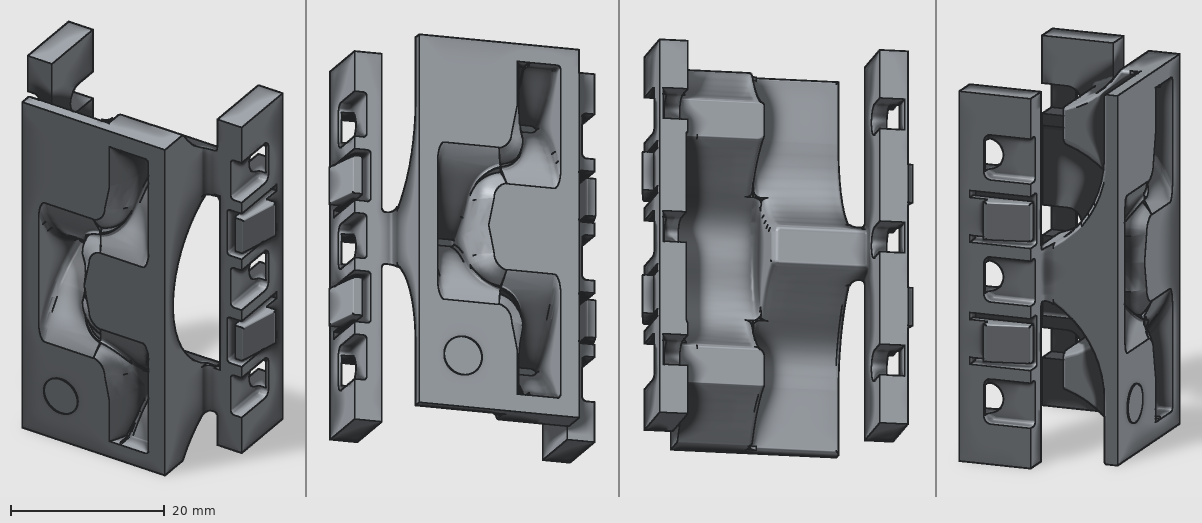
import cadquery as cq
import math

LENGTH = 50.0
HALF_LENGTH = LENGTH / 2
PLATE_HALF_WIDTH = 11.0
PLATE_THICKNESS = 2.0
RAIL_INNER = 12.75
RAIL_OUTER = 16.5
RAIL_FRONT = 10.0
RAIL_BACK = 20.0
PITCH = 16.5

ARCH_BACK = 12.5
ARCH_RADIUS = 14.5
AXIS_Y = PLATE_THICKNESS + ARCH_RADIUS
LEFT_ARCH_INNER = 0.0
RIGHT_ARCH_INNER = 1.0
LEFT_CREST_FILLET = 0.75
RIGHT_CREST_FILLET = 0.35
EDGE_FILLET = 0.5
INNER_FILLET = 1.0
CORE_INSET = 1.0

WALL = 3.0
POCKET_RADIUS = ARCH_RADIUS + WALL
POCKET_DEPTH = ARCH_BACK - WALL
POCKET_SIDE = 8.45
POCKET_END = 22.6
POCKET_FILLET = 0.9
POCKET_END_FILLET = 0.55
BEND_X = (LEFT_ARCH_INNER + RIGHT_ARCH_INNER) / 2
BEND_Z = PITCH / 2
WALL_SWING = 3.6
WALL_X = BEND_X + WALL_SWING
BEND_TOP = 12.75
BEND_RISE = BEND_TOP - BEND_Z
BEND_RADIUS = (WALL_SWING**2 + BEND_RISE**2) / (2 * WALL_SWING)
BEND_CENTER_X = WALL_X - BEND_RADIUS
BEND_ANGLE = math.degrees(math.atan2(BEND_RISE, BEND_X - BEND_CENTER_X))
FOOT_FILLET = 0.35
LIP_WIDTH = 1.65
LIP_WIDTH_AT_BEND = 2.4
LIP_DEPTH = 6.0
LIP_DEPTH_AT_BEND = 3.0

NECK_FILLET = 1.0
NECK_FLARE = 0.5

RECESS_HALF_HEIGHT = 3.05
RECESS_END = 16.55
RECESS_DEPTH = 1.7
RECESS_CORNER = 1.0
RECESS_FILLET = 0.6
SLOT_RADIUS = 2.05
SLOT_SKIN = 0.45
TONGUE_HEIGHT = PITCH / 2
GROOVE_HALF_HEIGHT = 3.5
GROOVE_END = 18.55
GROOVE_DEPTH = 2.25
GROOVE_FILLET = 0.55
TONGUE_HALF_HEIGHT = 2.55
TONGUE_THICKNESS = 1.15
BARB_TIP = 17.95
BARB_BACK = 16.05
BARB_TIP_LENGTH = 0.45
BARB_TOE = 0.2
BARB_FILLET = 0.2
TONGUE_FILLET = 0.35

RELIEF_DEPTH = 0.2
RELIEF_HALF_HEIGHT = 13.1
RELIEF_BEVEL = 0.25
RELIEF_CORNER = 0.75

DISC_X = -5.0
DISC_Z = -18.1
DISC_RADIUS = 2.6
DISC_HEIGHT = 0.15

OVERSHOOT = 0.5
MARGIN = 0.05


def block(x0, x1, y0, y1, z0, z1):
    """Box given by its limits along the three axes."""
    return cq.Workplane("XY").box(x1 - x0, y1 - y0, z1 - z0, centered=False).translate((x0, y0, z0))


def within(x0, x1, y0, y1, z0, z1):
    """Selector for edges whose middle lies inside the given limits."""
    return cq.selectors.BoxSelector((x0, y0, z0), (x1, y1, z1))


def behind_front(z0, z1):
    """Selector for edges clear of the front face, between two heights."""
    return within(-RAIL_OUTER, RAIL_OUTER, OVERSHOOT, RAIL_BACK, z0, z1)


def rod(radius, z, x0=-RAIL_OUTER, x1=RAIL_OUTER):
    """Cylinder along X on one of the arch axes."""
    return cq.Workplane("YZ", origin=(x0, 0, 0)).center(AXIS_Y, z).circle(radius).extrude(x1 - x0)


def both_ends(shape):
    """Shape together with its reflection at mid height."""
    return shape.union(shape.mirror("XY"))


def both_sides(shape):
    """Shape together with its reflection across the middle plane."""
    return shape.union(shape.mirror("YZ"))


def left_arch(x0, x1):
    """Plate with one arch at mid height."""
    body = block(x0, x1, 0, ARCH_BACK, -HALF_LENGTH, HALF_LENGTH)
    hollow = rod(ARCH_RADIUS, PITCH).union(
        block(-RAIL_OUTER, RAIL_OUTER, PLATE_THICKNESS, ARCH_BACK, PITCH, HALF_LENGTH))
    return body.cut(both_ends(hollow))


def right_arches(x0, x1):
    """Plate with an arch one pitch above and one below mid height."""
    body = block(x0, x1, 0, ARCH_BACK, -HALF_LENGTH, HALF_LENGTH)
    return body.cut(rod(ARCH_RADIUS, 0)).cut(both_ends(rod(ARCH_RADIUS, 2 * PITCH)))


def end_rounding():
    """Material outside the rounded back edges at both plate ends."""
    y = PLATE_THICKNESS - EDGE_FILLET
    z = HALF_LENGTH - EDGE_FILLET
    corner = block(-PLATE_HALF_WIDTH, PLATE_HALF_WIDTH, y, PLATE_THICKNESS, z, HALF_LENGTH)
    bead = (cq.Workplane("YZ", origin=(-PLATE_HALF_WIDTH, y, z))
            .circle(EDGE_FILLET).extrude(2 * PLATE_HALF_WIDTH))
    return both_ends(corner.cut(bead))


def arch_body():
    """Plate with all three arches, their edges rounded."""
    end = HALF_LENGTH - OVERSHOOT
    left = left_arch(-PLATE_HALF_WIDTH, LEFT_ARCH_INNER)
    left = left.edges("|X").edges(">Y").fillet(LEFT_CREST_FILLET)
    left = left.faces(">X").edges(behind_front(-end, end)).fillet(INNER_FILLET)
    left = left.faces("<X").edges(behind_front(-end, end)).fillet(EDGE_FILLET)
    left = left.cut(end_rounding())

    right = right_arches(RIGHT_ARCH_INNER, PLATE_HALF_WIDTH)
    between_crests = PITCH - OVERSHOOT
    beyond_crests = PITCH + OVERSHOOT
    right = right.faces("<X").edges(behind_front(-between_crests, between_crests)).fillet(INNER_FILLET)
    for z0, z1 in ((beyond_crests, end), (-end, -beyond_crests)):
        right = right.faces("<X").edges(behind_front(z0, z1)).fillet(EDGE_FILLET)
    right = right.edges("|X").edges(">Y").fillet(RIGHT_CREST_FILLET)
    for end_face in (">Z", "<Z"):
        right = right.faces(end_face).edges(">Y").fillet(EDGE_FILLET)

    core_left = -PLATE_HALF_WIDTH + CORE_INSET
    core = left_arch(core_left, PLATE_HALF_WIDTH).intersect(right_arches(core_left, PLATE_HALF_WIDTH))
    core = core.cut(end_rounding())
    return core.union(left).union(right)


def curved_cove(z, bead_x):
    """Concave fillet lying on a hollow of the core, carved by a round bead centred at bead_x."""
    ring = rod(ARCH_RADIUS, z, LEFT_ARCH_INNER, RIGHT_ARCH_INNER)
    ring = ring.cut(rod(ARCH_RADIUS - INNER_FILLET, z, LEFT_ARCH_INNER, RIGHT_ARCH_INNER))
    bead_path_radius = ARCH_RADIUS - INNER_FILLET
    bead = (cq.Workplane("XY", origin=(bead_x, AXIS_Y - bead_path_radius, z))
            .circle(INNER_FILLET)
            .revolve(360, (0, bead_path_radius), (1, bead_path_radius)))
    return ring.cut(bead)


def inner_coves():
    """Concave fillets at the foot of the inner arch sides."""
    x0, x1 = LEFT_ARCH_INNER, RIGHT_ARCH_INNER
    left_foot = curved_cove(0, x1).intersect(block(x0, x1, 0, ARCH_BACK, -BEND_Z, BEND_Z))
    left_foot = left_foot.intersect(left_arch(x0, x1))

    right_foot = curved_cove(PITCH, x0).intersect(block(x0, x1, 0, ARCH_BACK, BEND_Z, PITCH))
    bead_y = PLATE_THICKNESS + INNER_FILLET
    straight = block(x0, x1, PLATE_THICKNESS, bead_y, PITCH, HALF_LENGTH)
    straight_bead = cq.Workplane("XY", origin=(x0, bead_y, PITCH)).circle(INNER_FILLET).extrude(PITCH)
    right_foot = right_foot.union(straight.cut(straight_bead)).intersect(right_arches(x0, x1))
    return left_foot.union(both_ends(right_foot))


def lip_section(width, depth, z):
    """Section of the rounded lip between the front face and the S-shaped wall."""
    return (cq.Workplane("XY").workplane(offset=z)
            .moveTo(WALL_X, -OVERSHOOT)
            .lineTo(WALL_X - width, -OVERSHOOT)
            .lineTo(WALL_X - width, 0)
            .spline([(WALL_X, depth)], tangents=[(2 * width, depth), (0, 1)], includeCurrent=True)
            .close())


def bend_lip():
    """Lip along half of the S bend and the stretch where it narrows."""
    bend = lip_section(LIP_WIDTH_AT_BEND, LIP_DEPTH_AT_BEND, BEND_TOP).revolve(
        BEND_ANGLE, (BEND_CENTER_X, 0), (BEND_CENTER_X, 1))
    wide = lip_section(LIP_WIDTH_AT_BEND, LIP_DEPTH_AT_BEND, BEND_TOP).wires().val()
    narrow = lip_section(LIP_WIDTH, LIP_DEPTH, PITCH).wires().val()
    return bend.union(cq.Workplane(cq.Solid.makeLoft([wide, narrow], True)))


def turned(shape):
    """Shape turned half way round about the middle of the S bend."""
    return shape.rotate((BEND_X, 0, BEND_Z), (BEND_X, 1, BEND_Z), 180)


def bend_point(share):
    """Point on the upper half of the S bend, from its middle (0) to its top (1)."""
    angle = math.radians(BEND_ANGLE * (share - 1))
    return (BEND_CENTER_X + BEND_RADIUS * math.cos(angle), BEND_TOP + BEND_RADIUS * math.sin(angle))


def turned_point(point):
    """Point turned half way round about the middle of the S bend."""
    return (2 * BEND_X - point[0], 2 * BEND_Z - point[1])


def pocket_space():
    """Hollow inside an arch at mid height, with its rounded outer side to the left."""
    space = block(-POCKET_SIDE, PLATE_HALF_WIDTH, -OVERSHOOT, ARCH_BACK, -PITCH, PITCH)
    space = space.cut(both_ends(rod(POCKET_RADIUS, PITCH)))
    return space.faces("<X").edges(behind_front(-PITCH, PITCH)).fillet(POCKET_FILLET)


def left_pocket():
    """Pocket under the left arch, ending at the S bends above and below."""
    space = pocket_space()
    wall_mid = turned_point(bend_point(0.5))
    wall_end = turned_point(bend_point(1))
    outline = (cq.Workplane("XZ", origin=(0, -OVERSHOOT, 0))
               .moveTo(-PLATE_HALF_WIDTH, 0)
               .lineTo(-PLATE_HALF_WIDTH, PITCH)
               .lineTo(BEND_CENTER_X, BEND_TOP)
               .lineTo(BEND_X, BEND_Z)
               .threePointArc(wall_mid, wall_end)
               .lineTo(wall_end[0], 0)
               .close()
               .extrude(-POCKET_DEPTH - OVERSHOOT))
    pocket = space.intersect(both_ends(outline))
    foot = within(-WALL_SWING, 0, OVERSHOOT, ARCH_BACK, -BEND_Z, BEND_Z)
    pocket = pocket.edges(foot).edges("not |Y").fillet(FOOT_FILLET)
    return pocket.union(space.intersect(both_ends(turned(bend_lip()))))


def upper_right_pocket():
    """Pocket under the upper right arch, from the S bend to the flat pocket end."""
    space = pocket_space().mirror("YZ").translate((0, 0, PITCH))
    outline = (cq.Workplane("XZ", origin=(0, -OVERSHOOT, 0))
               .moveTo(BEND_X, BEND_Z)
               .threePointArc(bend_point(0.5), bend_point(1))
               .lineTo(WALL_X, POCKET_END)
               .lineTo(POCKET_SIDE, POCKET_END)
               .lineTo(POCKET_SIDE, 0)
               .lineTo(*turned_point((BEND_CENTER_X, BEND_TOP)))
               .close()
               .extrude(-POCKET_DEPTH - OVERSHOOT)
               .edges("|Y and >X and >Z").fillet(POCKET_END_FILLET))
    straight_lip = lip_section(LIP_WIDTH, LIP_DEPTH, PITCH).extrude(POCKET_END - PITCH)
    pocket = space.intersect(outline)
    pocket = pocket.faces(">Z").edges("|X").edges(">Y").fillet(POCKET_END_FILLET)
    foot = within(BEND_X, WALL_X + MARGIN, OVERSHOOT, ARCH_BACK, BEND_Z, POCKET_END - MARGIN)
    pocket = pocket.edges(foot).edges("not |Y").fillet(FOOT_FILLET)
    return pocket.union(space.intersect(straight_lip.union(bend_lip())))


def pockets():
    """All three pockets, which run into each other at the S bends."""
    return left_pocket().union(both_ends(upper_right_pocket()))


def neck(arch, side, crest_fillet):
    """Bridge from an arch to the rail on the given side (-1 left, +1 right)."""
    x0, x1 = sorted((side * (PLATE_HALF_WIDTH - NECK_FILLET), side * RAIL_INNER))
    bridge = arch(x0, x1).edges("|X").edges(">Y").fillet(crest_fillet)
    bridge = bridge.intersect(
        block(x0, x1, RAIL_FRONT - NECK_FILLET, ARCH_BACK, -HALF_LENGTH, HALF_LENGTH))
    hollow_x = side * (PLATE_HALF_WIDTH + NECK_FILLET)
    under_x0, under_x1 = sorted((hollow_x, side * RAIL_INNER))
    under = block(under_x0, under_x1, 0, RAIL_FRONT, -HALF_LENGTH, HALF_LENGTH)
    round_under = (cq.Workplane("XY", origin=(hollow_x, RAIL_FRONT - NECK_FILLET, -HALF_LENGTH))
                   .circle(NECK_FILLET).extrude(LENGTH))
    bridge = bridge.cut(under).cut(round_under)
    rail_x0, rail_x1 = sorted((side * RAIL_INNER, side * RAIL_OUTER))
    bridge = bridge.union(block(rail_x0, rail_x1, RAIL_FRONT, RAIL_BACK, -HALF_LENGTH, HALF_LENGTH))
    root = within(side * RAIL_INNER - MARGIN, side * RAIL_INNER + MARGIN, RAIL_FRONT + MARGIN,
                  ARCH_BACK + MARGIN, MARGIN - HALF_LENGTH, HALF_LENGTH - MARGIN)
    bridge = bridge.edges(root).fillet(NECK_FLARE)
    return bridge.intersect(block(-RAIL_INNER, RAIL_INNER, 0, RAIL_BACK, -HALF_LENGTH, HALF_LENGTH))


def left_rail():
    """Rail with three recesses and two snap tongues."""
    rail = block(-RAIL_OUTER, -RAIL_INNER, RAIL_FRONT, RAIL_BACK, -HALF_LENGTH, HALF_LENGTH)
    for z in (-PITCH, 0, PITCH):
        rail = rail.cut(recess().translate((0, 0, z)))
    for z in (-TONGUE_HEIGHT, TONGUE_HEIGHT):
        rail = rail.cut(tongue_groove().translate((0, 0, z))).union(tongue().translate((0, 0, z)))
    return rail


def recess():
    """Outside recess open at the rail front, with a slot behind it open at the rail back."""
    floor_x = -RAIL_OUTER + RECESS_DEPTH
    dish = block(-RAIL_OUTER - RECESS_DEPTH, floor_x, RAIL_FRONT - RECESS_DEPTH, RECESS_END,
                 -RECESS_HALF_HEIGHT, RECESS_HALF_HEIGHT)
    dish = dish.edges("|X and >Y").fillet(RECESS_CORNER)
    dish = dish.faces(">X").edges("not <Y").fillet(RECESS_FILLET)
    skin_x = -RAIL_OUTER + SLOT_SKIN
    slot = block(skin_x, -RAIL_INNER, RECESS_END, RAIL_BACK, -SLOT_RADIUS, SLOT_RADIUS)
    slot_end = cq.Workplane("YZ", origin=(skin_x, RECESS_END, 0)).circle(SLOT_RADIUS).extrude(RAIL_OUTER)
    slot_end = slot_end.intersect(block(skin_x, -RAIL_INNER, 0, RAIL_BACK, -PITCH, PITCH))
    return dish.union(slot).union(slot_end)


def tongue_groove():
    """Groove around a tongue, open at the rail front and rounded along its floor."""
    groove = block(-RAIL_OUTER, -RAIL_OUTER + GROOVE_DEPTH, RAIL_FRONT, GROOVE_END,
                   -GROOVE_HALF_HEIGHT, GROOVE_HALF_HEIGHT)
    return groove.faces(">X").edges("|Y").fillet(GROOVE_FILLET)


def tongue():
    """Springy tongue rooted at the groove end, with a wedge-shaped barb outside."""
    body = (cq.Workplane("XY", origin=(0, 0, -TONGUE_HALF_HEIGHT))
            .moveTo(-RAIL_OUTER + TONGUE_THICKNESS, GROOVE_END)
            .lineTo(-RAIL_OUTER + TONGUE_THICKNESS, RAIL_FRONT)
            .lineTo(-RAIL_OUTER - BARB_TOE, RAIL_FRONT)
            .lineTo(-BARB_TIP, BARB_BACK - BARB_TIP_LENGTH)
            .lineTo(-BARB_TIP, BARB_BACK)
            .lineTo(-RAIL_OUTER, BARB_BACK)
            .lineTo(-RAIL_OUTER, GROOVE_END)
            .close()
            .extrude(2 * TONGUE_HALF_HEIGHT))
    body = body.faces("<Y").edges(">X").fillet(TONGUE_FILLET)
    barb_slope = within(-BARB_TIP, -RAIL_OUTER - BARB_TOE / 2, RAIL_FRONT - MARGIN,
                        BARB_BACK - BARB_TIP_LENGTH - MARGIN, -PITCH, PITCH)
    return body.edges(barb_slope).fillet(BARB_FILLET)


def relief():
    """Slot between the two right necks, cut slightly into the rail and bevelled at its front."""
    slot = block(PLATE_HALF_WIDTH, RAIL_INNER + RELIEF_DEPTH, RAIL_FRONT - NECK_FILLET, RAIL_BACK,
                 -RELIEF_HALF_HEIGHT, RELIEF_HALF_HEIGHT)
    slot = slot.edges("|Y and >X").fillet(RELIEF_CORNER)
    mouth = (cq.Workplane("XZ", origin=(RAIL_INNER, RAIL_FRONT, 0))
             .rect(2 * (RELIEF_DEPTH + RELIEF_BEVEL), 2 * (RELIEF_HALF_HEIGHT + RELIEF_BEVEL))
             .extrude(-RELIEF_BEVEL, taper=45))
    return slot.union(mouth)


disc = cq.Workplane("XZ", origin=(DISC_X, 0, DISC_Z)).circle(DISC_RADIUS).extrude(DISC_HEIGHT)

result = arch_body().union(inner_coves()).cut(pockets())
result = result.union(neck(left_arch, -1, LEFT_CREST_FILLET))
result = result.union(neck(right_arches, 1, RIGHT_CREST_FILLET))
result = result.union(both_sides(left_rail())).cut(relief()).union(disc)